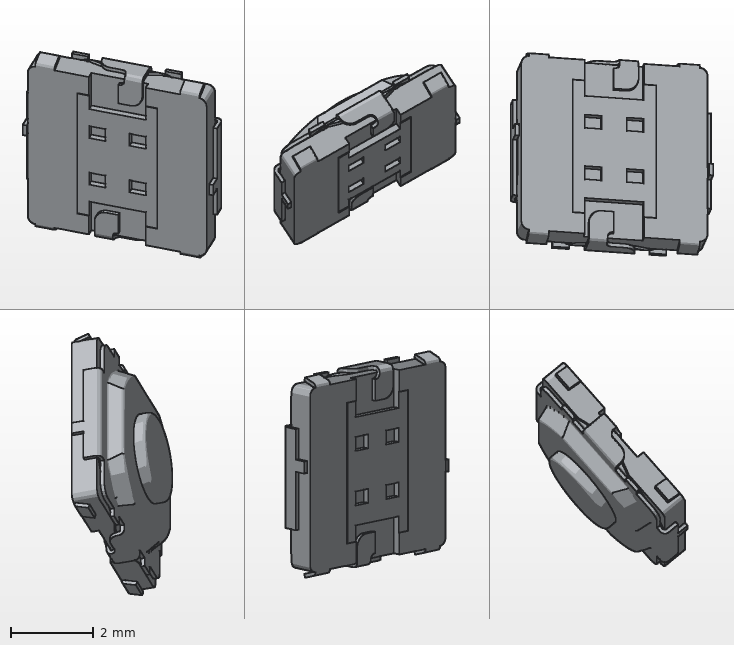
import cadquery as cq
import math


body_side = 4.6
body_height = 0.65
body_corner = 0.2
half_body = body_side / 2

recess_width = 2.06
recess_length = 3.51
recess_depth = 0.02
notch_width = 1.46
notch_depth = 0.19
notch_inner_z = 1.35
pocket_width = 0.42
pocket_length = 0.35
pocket_x = (notch_width - pocket_width) / 2
pocket_z = 0.68
pocket_floor = 0.18

sheet = 0.1
inner_bend = 0.05
outer_bend = inner_bend + sheet
cover_bottom = 0.7
cover_top = cover_bottom + sheet
cover_side = 4.36
cover_corner = 0.3
flap_reach = half_body + outer_bend
ear_width = 0.41
ear_x = 1.2
ear_reach = 2.4

seat_side = body_side + 2 * inner_bend
seat_bottom = 0.52
seat_lower_radius = 2.35
seat_upper_radius = 2.54

side_flap_width = 2.52
side_flap_bottom = 0.35
prong_width = 0.3
prong_z = 0.35
prong_bottom = 0.05

hook_width = 1.22
hook_edge = 0.35
hook_corner = 0.3
neck_x = 0.15
neck_round = 0.15
foot_neck_round = 0.13
foot_bottom = notch_depth - sheet
foot_end_z = 1.63
foot_notch_z = half_body - foot_neck_round
bend_y = foot_bottom + outer_bend

tab_width = 0.495
tab_x = 1.865
tab_inner_bend = 0.01
tab_lean = math.radians(18)
tab_reach = 2.5
tab_root = 0.1

dome_top = 1.2
dome_base_half = 1.94
dome_draft = 13.8
dome_cone_base_radius = 2.24
dome_cone_top_radius = 2.05
dome_top_round = 0.1
dome_base_round = 0.05

button_radius = 1.11
button_top = 1.5
button_round = 0.1


def slab(y_bottom, y_top):
    """Sketch plane at y_top, with local axes X and Z, and the height to extrude down to y_bottom."""
    return cq.Workplane("XZ", origin=(0, y_top, 0)), y_top - y_bottom


def block(x_size, z_size, y_bottom, y_top, x=0.0, z=0.0):
    """Box centred on (x, z) between two heights."""
    plane, height = slab(y_bottom, y_top)
    return plane.center(x, z).rect(x_size, z_size).extrude(height)


def half_turn(shape):
    """Same shape turned half a turn about the Y axis."""
    return shape.rotate((0, 0, 0), (0, 1, 0), 180)


def make_body():
    body = block(body_side, body_side, 0, body_height).edges("|Y").fillet(body_corner)
    body = body.cut(block(recess_width, recess_length, 0, recess_depth))
    notch_length = half_body - notch_inner_z
    for side in (1, -1):
        notch_z = side * (half_body + notch_inner_z) / 2
        body = body.cut(block(notch_width, notch_length, 0, notch_depth, z=notch_z))
        for x in (pocket_x, -pocket_x):
            body = body.cut(block(pocket_width, pocket_length, 0, pocket_floor, x, side * pocket_z))
    return body


def make_seat():
    cone = cq.Workplane("XY").polyline([
        (0, seat_bottom),
        (seat_lower_radius, seat_bottom),
        (seat_upper_radius, cover_bottom),
        (0, cover_bottom),
    ]).close().revolve(360, (0, 0, 0), (0, 1, 0))
    square = block(seat_side, seat_side, seat_bottom, cover_bottom)
    square = square.faces(">Y").edges().fillet(inner_bend)
    return cone.intersect(square)


def make_cover():
    cover = block(cover_side, cover_side, cover_bottom, cover_top).edges("|Y").fillet(cover_corner)
    for x in (ear_x, -ear_x):
        cover = cover.union(block(ear_width, 2 * ear_reach, cover_bottom, cover_top, x))
    return cover


def make_side_flap():
    """Flap folded down on the -X side, with a narrow prong."""
    flap = (
        cq.Workplane("XY")
        .moveTo(0, cover_top)
        .lineTo(-half_body, cover_top)
        .radiusArc((-flap_reach, cover_top - outer_bend), -outer_bend)
        .lineTo(-flap_reach, prong_bottom)
        .lineTo(-flap_reach + sheet, prong_bottom)
        .lineTo(-flap_reach + sheet, cover_top - outer_bend)
        .radiusArc((-half_body, cover_bottom), inner_bend)
        .lineTo(0, cover_bottom)
        .close()
        .extrude(side_flap_width / 2, both=True)
    )
    spare = block(2 * flap_reach, side_flap_width, 0, side_flap_bottom)
    spare = spare.cut(block(2 * flap_reach, prong_width, 0, side_flap_bottom, z=prong_z))
    return flap.cut(spare)


def make_hook():
    """Flap folded down on the +Z side, ending in a foot folded into the notch."""
    half = hook_width / 2
    strip = (
        cq.Workplane("YZ")
        .moveTo(cover_top, 0)
        .lineTo(cover_top, half_body)
        .radiusArc((cover_top - outer_bend, flap_reach), -outer_bend)
        .lineTo(bend_y, flap_reach)
        .radiusArc((foot_bottom, half_body), -outer_bend)
        .lineTo(notch_depth, half_body)
        .radiusArc((bend_y, flap_reach - sheet), inner_bend)
        .lineTo(cover_top - outer_bend, flap_reach - sheet)
        .radiusArc((cover_bottom, half_body), inner_bend)
        .lineTo(cover_bottom, 0)
        .close()
        .extrude(half, both=True)
    )
    outline = (
        cq.Workplane("XY")
        .moveTo(-half, cover_top)
        .lineTo(-half, hook_edge + hook_corner)
        .radiusArc((-half + hook_corner, hook_edge), -hook_corner)
        .lineTo(neck_x - neck_round, hook_edge)
        .radiusArc((neck_x, hook_edge - neck_round), neck_round)
        .lineTo(neck_x, foot_bottom)
        .lineTo(half, foot_bottom)
        .lineTo(half, cover_top)
        .close()
        .extrude(flap_reach)
    )
    foot = (
        cq.Workplane("XZ", origin=(0, notch_depth, 0))
        .moveTo(neck_x, half_body)
        .radiusArc((neck_x - foot_neck_round, foot_notch_z), foot_neck_round)
        .lineTo(0, foot_notch_z)
        .lineTo(0, foot_end_z)
        .lineTo(half - hook_corner, foot_end_z)
        .radiusArc((half, foot_end_z + hook_corner), -hook_corner)
        .lineTo(half, half_body)
        .close()
        .extrude(sheet)
    )
    return strip.intersect(outline).union(foot)


def make_tab(x):
    """Strip leaving the +Z side at the mounting face and bent up, leaning outwards."""
    outer = tab_inner_bend + sheet

    def on_bend(radius, turn):
        """Point (y, z) of the bend after the given turn from the mounting face."""
        return outer - radius * math.cos(turn), half_body + radius * math.sin(turn)

    bend = math.pi / 2 - tab_lean
    outer_end = on_bend(outer, bend)
    inner_end = on_bend(tab_inner_bend, bend)
    rise = tab_reach - outer_end[1]
    run = rise / math.tan(tab_lean)
    return (
        cq.Workplane("YZ", origin=(x - tab_width / 2, 0, 0))
        .moveTo(0, half_body - tab_root)
        .lineTo(0, half_body)
        .threePointArc(on_bend(outer, bend / 2), outer_end)
        .line(run, rise)
        .lineTo(inner_end[0] + run, inner_end[1] + rise)
        .lineTo(*inner_end)
        .threePointArc(on_bend(tab_inner_bend, bend / 2), (sheet, half_body))
        .lineTo(sheet, half_body - tab_root)
        .close()
        .extrude(tab_width)
    )


def make_dome():
    height = dome_top - cover_top
    pyramid = (
        cq.Workplane("XZ", origin=(0, cover_top, 0))
        .rect(2 * dome_base_half, 2 * dome_base_half)
        .extrude(-height, taper=dome_draft)
    )
    cone = cq.Workplane("XY").polyline([
        (0, cover_top),
        (dome_cone_base_radius, cover_top),
        (dome_cone_top_radius, dome_top),
        (0, dome_top),
    ]).close().revolve(360, (0, 0, 0), (0, 1, 0))
    return pyramid.intersect(cone).faces(">Y").edges().fillet(dome_top_round)


def make_button():
    plane, height = slab(cover_top, button_top)
    return plane.circle(button_radius).extrude(height).faces(">Y").edges().fillet(button_round)


def make_domed_cover():
    """Cover with the dome on it and a small round where they meet."""
    domed = make_cover().union(make_dome())
    reach = dome_base_half + dome_base_round
    foot = cq.selectors.BoxSelector(
        (-reach, cover_top - sheet / 2, -reach),
        (reach, cover_top + sheet / 2, reach),
        boundingbox=True,
    )
    return domed.edges(foot).fillet(dome_base_round)


result = make_body().union(make_seat()).union(make_domed_cover()).union(make_button())
for feature in (make_side_flap(), make_hook(), make_tab(tab_x), make_tab(-tab_x)):
    result = result.union(feature).union(half_turn(feature))